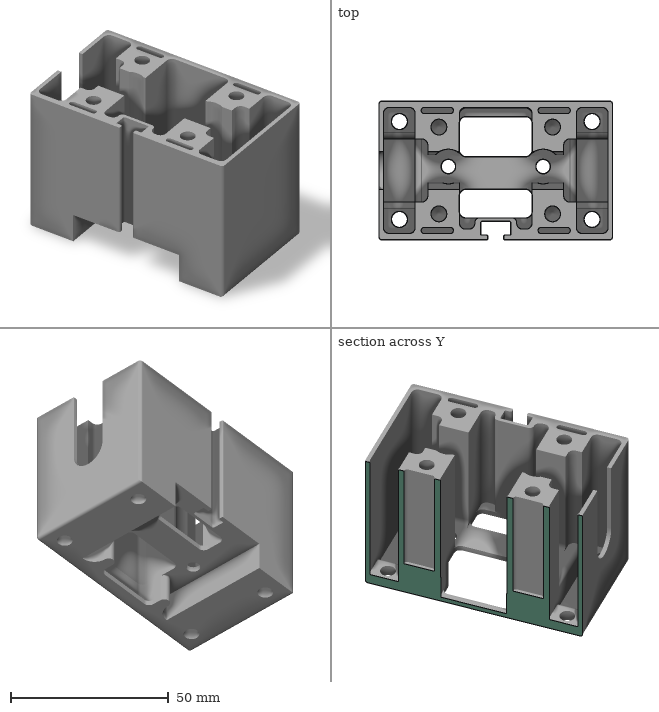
import cadquery as cq
import math

LENGTH = 74.0
WIDTH = 44.0
HEIGHT = 50.0
EDGE_RADIUS = 1.0
CUT_MARGIN = 1.0

SIDE_WALL = 2.0
END_WALL = 1.4
PLATE = 1.8
NOTCH_HEIGHT = 10.0
FLOOR_Z = NOTCH_HEIGHT + PLATE
ROLL_RADIUS = 2.0
LEDGE_Z = PLATE + ROLL_RADIUS

CORNER_RADIUS = 2.0
INNER_HALF_Y = WIDTH / 2 - SIDE_WALL
BAY_OUTER_X = LENGTH / 2 - END_WALL
BAY_INNER_X = 25.5
WELL_HALF_Y = 10.0
PASSAGE_HALF_X = 21.5
AISLE_HALF_Y = 6.0
CENTRE_HALF_X = 11.5
CENTRE_FRONT_Y = -18.6
REAR_FILLET = 1.0
FRONT_FILLET = 2.0

T_HALF_X = 4.75
T_BACK_Y = -16.1
T_LIP = 1.6
T_NECK_HALF_X = 2.5
T_LIP_RADIUS = 0.5
T_CORNER_RADIUS = 0.5
T_SHROUD_HALF_X = 6.6
T_SHROUD_Y = -15.0
T_SHROUD_RADIUS = 1.5

REAR_WINDOW_Y = (4.4, 17.0)
FRONT_WINDOW_Y = (-AISLE_HALF_Y, T_SHROUD_Y)

NOTCH_HALF_X = 20.2
NOTCH_BACK_STEP = 0.25
NOTCH_BACK_Y = INNER_HALF_Y - NOTCH_BACK_STEP
LOBE_RADIUS = 5.0
LOBE_BACK_Y = REAR_WINDOW_Y[1]
LOBE_CENTRE_Y = LOBE_BACK_Y - LOBE_RADIUS
RIB_OUTER_X = NOTCH_HALF_X - LOBE_RADIUS
RIB_RADIUS = (RIB_OUTER_X - CENTRE_HALF_X) / 2

BAY_HOLE_DIAMETER = 5.0
BAY_HOLE_X = 30.5
BAY_HOLE_Y = 15.5
FLOOR_HOLE_DIAMETER = 4.5
FLOOR_HOLE_X = 15.0
FLOOR_HOLE_Y = 1.25
CLEARANCE_RADIUS = 5.5
POST_HOLE_DIAMETER = 5.0
POST_HOLE_X = 18.0
POST_HOLE_Y = 13.75
POST_HOLE_DEPTH = 25.0
DRILL_POINT_ANGLE = 118.0
POST_SLOT_LENGTH = 10.2
POST_SLOT_WIDTH = 2.0
POST_SLOT_X = 18.5
POST_SLOT_Y = INNER_HALF_Y - POST_SLOT_WIDTH / 2
CABLE_SLOT_RADIUS = 6.0
CABLE_SLOT_BOTTOM = 19.0

SIDES = (-1, 1)
FOUR_CORNERS = [(sx, sy) for sx in SIDES for sy in SIDES]


def box(x0, x1, y0, y1, z0, z1):
    """Axis-aligned block between the given limits, in either order."""
    return (
        cq.Workplane("XY")
        .box(abs(x1 - x0), abs(y1 - y0), z1 - z0, centered=(True, True, False))
        .translate(((x0 + x1) / 2, (y0 + y1) / 2, z0))
    )


def cylinders(points, radius, z0, z1):
    """Upright cylinders at the given XY points."""
    return cq.Workplane("XY", origin=(0, 0, z0)).pushPoints(points).circle(radius).extrude(z1 - z0)


def body():
    """Solid block; its upright edges and bottom edges are rounded, except the front bottom edge."""
    block = box(-LENGTH / 2, LENGTH / 2, -WIDTH / 2, WIDTH / 2, 0, HEIGHT)
    rounded_rear = block.edges("(<Z and (not <Y)) or (|Z and >Y)").fillet(EDGE_RADIUS)
    rounded_front = block.edges("|Z and <Y").fillet(EDGE_RADIUS)
    return rounded_rear.intersect(rounded_front)


def centre_pocket():
    """Pocket between the posts, stepping round the back of the T-slot."""
    top = HEIGHT + CUT_MARGIN
    pocket = box(-CENTRE_HALF_X, CENTRE_HALF_X, CENTRE_FRONT_Y, INNER_HALF_Y, FLOOR_Z, top)
    shroud = box(-T_SHROUD_HALF_X, T_SHROUD_HALF_X, CENTRE_FRONT_Y, T_SHROUD_Y, FLOOR_Z, top)
    shroud = shroud.edges("|Z and >Y").fillet(T_SHROUD_RADIUS)
    return pocket.cut(shroud).edges("|Z and (<Y or >Y)").fillet(CORNER_RADIUS)


def upper_cavity():
    """Open-topped space above the raised floor, leaving four posts."""
    top = HEIGHT + CUT_MARGIN
    cavity = centre_pocket()
    passage = box(-PASSAGE_HALF_X, PASSAGE_HALF_X, -AISLE_HALF_Y, AISLE_HALF_Y, FLOOR_Z, top)
    cavity = cavity.union(passage)
    for side in SIDES:
        bay = box(side * BAY_INNER_X, side * BAY_OUTER_X, -INNER_HALF_Y, INNER_HALF_Y, FLOOR_Z, top)
        bay = bay.edges("|Z").fillet(CORNER_RADIUS)
        alcove = box(side * PASSAGE_HALF_X, side * BAY_OUTER_X, -WELL_HALF_Y, WELL_HALF_Y, FLOOR_Z, top)
        inner_edges = "|Z and <X" if side > 0 else "|Z and >X"
        alcove = alcove.edges(inner_edges).fillet(CORNER_RADIUS)
        cavity = cavity.union(bay).union(alcove)
    return cavity


def post_foot_fillet(x0, x1, side_y, radius):
    """Concave strip where the posts on one side of the aisle meet the floor."""
    wall_y = side_y * AISLE_HALF_Y
    toe_y = wall_y - side_y * radius
    strip = box(x0, x1, wall_y, toe_y, FLOOR_Z, FLOOR_Z + radius)
    hollow = (
        cq.Workplane("YZ", origin=(x0, 0, 0))
        .center(toe_y, FLOOR_Z + radius)
        .circle(radius)
        .extrude(x1 - x0)
    )
    return strip.cut(hollow)


def end_bay_floor(side):
    """Stepped floor of an end bay: a deep well, with a lower screw ledge at each end.

    The raised floor and both ledges roll over into the well.
    """
    bay = box(side * BAY_INNER_X, side * BAY_OUTER_X, -INNER_HALF_Y, INNER_HALF_Y, LEDGE_Z, FLOOR_Z)
    bay = bay.edges("|Z").fillet(CORNER_RADIUS)
    well = box(side * BAY_INNER_X, side * BAY_OUTER_X, -WELL_HALF_Y, WELL_HALF_Y, PLATE, FLOOR_Z)
    well = well.union(bay)

    mouth_x = BAY_INNER_X - ROLL_RADIUS
    roll_z = FLOOR_Z - ROLL_RADIUS
    mouth = box(side * mouth_x, side * BAY_INNER_X, -WELL_HALF_Y, WELL_HALF_Y, roll_z, FLOOR_Z)
    roll = (
        cq.Workplane("XZ", origin=(0, WELL_HALF_Y, 0))
        .center(side * mouth_x, roll_z)
        .circle(ROLL_RADIUS)
        .extrude(2 * WELL_HALF_Y)
    )
    well = well.union(mouth.cut(roll))

    bay_start = min(side * BAY_INNER_X, side * BAY_OUTER_X)
    roll_z = LEDGE_Z - ROLL_RADIUS
    for side_y in SIDES:
        mouth_y = side_y * (WELL_HALF_Y + ROLL_RADIUS)
        mouth = box(side * BAY_INNER_X, side * BAY_OUTER_X, side_y * WELL_HALF_Y, mouth_y, roll_z, LEDGE_Z)
        roll = (
            cq.Workplane("YZ", origin=(bay_start, 0, 0))
            .center(mouth_y, roll_z)
            .circle(ROLL_RADIUS)
            .extrude(BAY_OUTER_X - BAY_INNER_X)
        )
        well = well.union(mouth.cut(roll))
    return well


def floor_windows():
    """Two openings through the raised floor between the posts."""
    cutters = cq.Workplane("XY")
    for y0, y1 in (REAR_WINDOW_Y, FRONT_WINDOW_Y):
        window = box(-CENTRE_HALF_X, CENTRE_HALF_X, y0, y1, -CUT_MARGIN, FLOOR_Z)
        cutters = cutters.union(window.edges("|Z").fillet(CORNER_RADIUS))
    return cutters


def underside_notch():
    """Notch through the front wall, its back split into three by two round-ended ribs."""
    diagonal = math.sqrt(0.5)
    lobe_mid_x = NOTCH_HALF_X - LOBE_RADIUS * diagonal
    lobe_mid_y = LOBE_CENTRE_Y + LOBE_RADIUS * diagonal
    rib_x = CENTRE_HALF_X + RIB_RADIUS
    rib_tip_y = LOBE_CENTRE_Y - RIB_RADIUS
    front_y = -WIDTH / 2 - CUT_MARGIN

    half = (
        cq.Workplane("XY", origin=(0, 0, -CUT_MARGIN))
        .moveTo(0, front_y)
        .lineTo(NOTCH_HALF_X, front_y)
        .lineTo(NOTCH_HALF_X, LOBE_BACK_Y)
        .threePointArc((lobe_mid_x, lobe_mid_y), (RIB_OUTER_X, LOBE_CENTRE_Y))
        .threePointArc((rib_x, rib_tip_y), (CENTRE_HALF_X, LOBE_CENTRE_Y))
        .lineTo(0, LOBE_CENTRE_Y)
        .close()
        .extrude(NOTCH_HEIGHT + CUT_MARGIN)
    )
    notch = half.union(half.mirror("YZ"))

    above_plate = box(-CENTRE_HALF_X, CENTRE_HALF_X, 0, NOTCH_BACK_Y, PLATE, NOTCH_HEIGHT)
    at_plate = box(-CENTRE_HALF_X, CENTRE_HALF_X, 0, REAR_WINDOW_Y[1], -CUT_MARGIN, PLATE)
    through_floor = box(-CENTRE_HALF_X, CENTRE_HALF_X, REAR_WINDOW_Y[0] + CORNER_RADIUS,
                        INNER_HALF_Y, NOTCH_HEIGHT, FLOOR_Z)
    for level in (above_plate, at_plate, through_floor):
        notch = notch.union(level.edges("|Z and >Y").fillet(CORNER_RADIUS))
    return notch


def t_slot():
    """T-shaped channel over the full height, open to the front between rounded lips."""
    front_y = -WIDTH / 2
    lip_y = front_y + T_LIP
    top = HEIGHT + CUT_MARGIN
    channel = box(-T_HALF_X, T_HALF_X, T_BACK_Y, lip_y, 0, top)
    channel = channel.edges("|Z and >Y").fillet(T_CORNER_RADIUS)
    mouth_half_x = T_NECK_HALF_X + T_LIP_RADIUS
    mouth = box(-mouth_half_x, mouth_half_x, lip_y, front_y, 0, top)
    for side in SIDES:
        lip = box(side * T_NECK_HALF_X, side * T_HALF_X, lip_y, front_y, 0, top)
        inner_edges = "|Z and <X" if side > 0 else "|Z and >X"
        mouth = mouth.cut(lip.edges(inner_edges).fillet(T_LIP_RADIUS))
    return channel.union(mouth)


def cable_slot():
    """Round-bottomed slot, open at the top, through the -X wall only."""
    centre_z = CABLE_SLOT_BOTTOM + CABLE_SLOT_RADIUS
    start_x = -LENGTH / 2 - CUT_MARGIN
    end_x = -BAY_OUTER_X
    upper = box(start_x, end_x, -CABLE_SLOT_RADIUS, CABLE_SLOT_RADIUS, centre_z, HEIGHT + CUT_MARGIN)
    lower = (
        cq.Workplane("YZ", origin=(start_x, 0, 0))
        .center(0, centre_z)
        .circle(CABLE_SLOT_RADIUS)
        .extrude(end_x - start_x)
    )
    return upper.union(lower)


def post_holes():
    """Blind drilled holes with conical ends, one in each post."""
    radius = POST_HOLE_DIAMETER / 2
    point = radius / math.tan(math.radians(DRILL_POINT_ANGLE / 2))
    shoulder_z = HEIGHT - POST_HOLE_DEPTH
    drill = (
        cq.Workplane("XZ")
        .moveTo(0, HEIGHT + CUT_MARGIN)
        .lineTo(radius, HEIGHT + CUT_MARGIN)
        .lineTo(radius, shoulder_z)
        .lineTo(0, shoulder_z - point)
        .close()
        .revolve(360, (0, 0), (0, 1))
    )
    cutters = cq.Workplane("XY")
    for sx, sy in FOUR_CORNERS:
        cutters = cutters.union(drill.translate((sx * POST_HOLE_X, sy * POST_HOLE_Y, 0)))
    return cutters


def post_slots():
    """Long narrow pockets beside the front and rear walls, down to the raised floor."""
    points = [(sx * POST_SLOT_X, sy * POST_SLOT_Y) for sx, sy in FOUR_CORNERS]
    return (
        cq.Workplane("XY", origin=(0, 0, FLOOR_Z))
        .pushPoints(points)
        .slot2D(POST_SLOT_LENGTH, POST_SLOT_WIDTH)
        .extrude(HEIGHT + CUT_MARGIN - FLOOR_Z)
    )


result = body().cut(upper_cavity())

for side in SIDES:
    x_start, x_end = sorted((side * CENTRE_HALF_X, side * PASSAGE_HALF_X))
    result = result.union(post_foot_fillet(x_start, x_end, 1, REAR_FILLET))
    result = result.union(post_foot_fillet(x_start, x_end, -1, FRONT_FILLET))

floor_hole_points = [(side * FLOOR_HOLE_X, FLOOR_HOLE_Y) for side in SIDES]
bay_hole_points = [(sx * BAY_HOLE_X, sy * BAY_HOLE_Y) for sx, sy in FOUR_CORNERS]

result = result.cut(cylinders(floor_hole_points, CLEARANCE_RADIUS, FLOOR_Z, HEIGHT))
result = result.cut(cylinders(floor_hole_points, FLOOR_HOLE_DIAMETER / 2, 0, FLOOR_Z))
result = result.cut(cylinders(bay_hole_points, BAY_HOLE_DIAMETER / 2, 0, FLOOR_Z))
for side in SIDES:
    result = result.cut(end_bay_floor(side))
result = result.cut(floor_windows())
result = result.cut(underside_notch())
result = result.cut(t_slot())
result = result.cut(cable_slot())
result = result.cut(post_holes())
result = result.cut(post_slots())